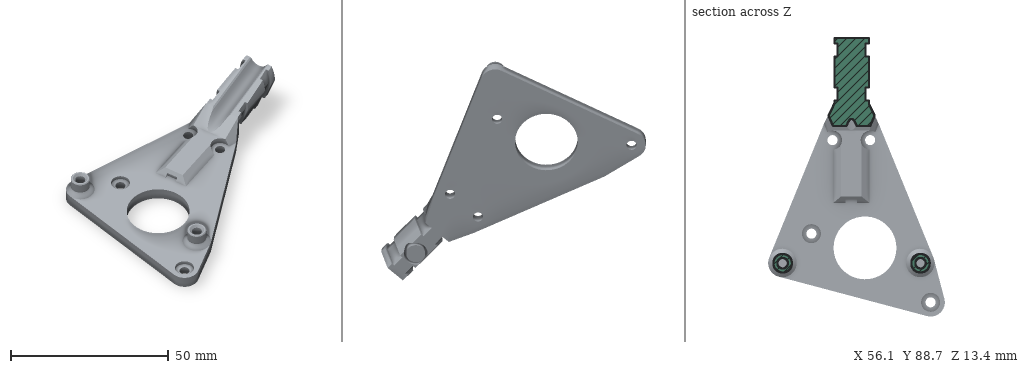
import cadquery as cq
import math

PLATE_THICKNESS = 4.0
CORNER_RADIUS = 4.5
BOSS_X = 21.9
BOSS_Y = 17.0
FOOT_HOLE = (25.2, CORNER_RADIUS)
SIDE_HOLE = (-12.7, 26.35)
NECK_HOLE_Y = 56.1
MAIN_BORE = (4.35, 21.8)
MAIN_BORE_DIAMETER = 20.0

SCREW_DIAMETER = 3.2
COUNTERBORE_DIAMETER = 6.0
COUNTERBORE_DEPTH = 1.2

BOSS_DIAMETER = 6.0
BOSS_TOP = 9.0
BOSS_BORE_DIAMETER = 3.2
BOSS_MOUTH_DIAMETER = 4.6
BOSS_EDGE = 0.3

STALK_WIDTH = 12.0
STALK_END_Y = 88.7
STALK_TOP = 13.4
STALK_SHOULDER_Z = 8.0
STALK_SLOPE = math.tan(math.radians(10))
STALK_UNDERCUT = 2.75
GROOVE_DEPTH = 1.0
GROOVE_WIDTH = 4.0
GROOVE_STARTS = (68.85, 82.8)
SOCKET_Y = 79.0
SOCKET_DIAMETER = 7.6
SOCKET_POST_DIAMETER = BOSS_DIAMETER
SOCKET_DEPTH = 3.55

CHANNEL_RADIUS = 3.2
CHANNEL_DEPTH = 2.1
CHANNEL_HALF_WIDTH = 2.8
CHANNEL_MOUTH_HALF_WIDTH = 3.4

NECK_TOP_Y = 66.7
NECK_BASE_Y = 59.2
NECK_CORNER = (8.8, 61.1)

GUIDE_TOP_Z = 6.0
GUIDE_TOP_HALF_WIDTH = 3.3
GUIDE_BASE_HALF_WIDTH = 5.8
GUIDE_TOP_END_Y = 38.15
GUIDE_NOTCH_WIDTH = 3.7
GUIDE_NOTCH_TOP_Z = 5.1

half_stalk = STALK_WIDTH / 2
half_groove = half_stalk - GROOVE_DEPTH
neck_end_y = GROOVE_STARTS[0]
guide_height = GUIDE_TOP_Z - PLATE_THICKNESS
neck_holes = [(-half_stalk, NECK_HOLE_Y), (half_stalk, NECK_HOLE_Y)]
bosses = [(-BOSS_X, BOSS_Y), (BOSS_X, BOSS_Y)]


def stalk_top_z(y):
    """Height of the sloping stalk top at position y."""
    return STALK_TOP - (STALK_END_Y - y) * STALK_SLOPE


def tangent_pair(center_a, center_b):
    """Ends of the tangent on the right of the path between two corner circles."""
    dx = center_b[0] - center_a[0]
    dy = center_b[1] - center_a[1]
    length = math.hypot(dx, dy)
    offset = (dy / length * CORNER_RADIUS, -dx / length * CORNER_RADIUS)
    return [(c[0] + offset[0], c[1] + offset[1]) for c in (center_a, center_b)]


def tangent_from(center, point, side):
    """Touch point on a corner circle of the line to an outside point; side is +1 or -1."""
    dx = point[0] - center[0]
    dy = point[1] - center[1]
    angle = math.atan2(dy, dx) + side * math.acos(CORNER_RADIUS / math.hypot(dx, dy))
    return on_corner(center, angle)


def on_corner(center, angle):
    x = center[0] + CORNER_RADIUS * math.cos(angle)
    y = center[1] + CORNER_RADIUS * math.sin(angle)
    return (x, y)


def corner_middle(center, start, end):
    """Midpoint of the corner arc running between two points on its circle."""
    dx = start[0] + end[0] - 2 * center[0]
    dy = start[1] + end[1] - 2 * center[1]
    return on_corner(center, math.atan2(dy, dx))


def make_outline(height):
    """Plate with tangent edges around its three corners, narrowing into the stalk."""
    left, right = bosses
    corner_x, corner_y = NECK_CORNER
    left_top = tangent_from(left, (-corner_x, corner_y), 1)
    left_bottom, foot_bottom = tangent_pair(left, FOOT_HOLE)
    foot_side, right_side = tangent_pair(FOOT_HOLE, right)
    right_top = tangent_from(right, NECK_CORNER, -1)
    return (
        cq.Workplane("XY")
        .moveTo(-half_groove, neck_end_y)
        .lineTo(-corner_x, corner_y)
        .lineTo(*left_top)
        .threePointArc(corner_middle(left, left_top, left_bottom), left_bottom)
        .lineTo(*foot_bottom)
        .threePointArc(corner_middle(FOOT_HOLE, foot_bottom, foot_side), foot_side)
        .lineTo(*right_side)
        .threePointArc(corner_middle(right, right_side, right_top), right_top)
        .lineTo(corner_x, corner_y)
        .lineTo(half_groove, neck_end_y)
        .close()
        .extrude(height)
    )


def stalk_section(start_y, end_y, inset):
    """Stretch of stalk with flanks undercut below the shoulder and curving inward above it."""
    half_width = half_stalk - inset
    radius = STALK_WIDTH - inset
    arc_height = STALK_TOP - STALK_SHOULDER_Z

    def flank_x(rise):
        return half_width - radius + math.sqrt(radius ** 2 - rise ** 2)

    top_x = flank_x(arc_height)
    middle_x = flank_x(arc_height / 2)
    middle_z = STALK_SHOULDER_Z + arc_height / 2
    bottom_x = half_width - STALK_UNDERCUT
    return (
        cq.Workplane("XZ", origin=(0, end_y, 0))
        .moveTo(-bottom_x, 0)
        .lineTo(bottom_x, 0)
        .lineTo(half_width, STALK_SHOULDER_Z)
        .threePointArc((middle_x, middle_z), (top_x, STALK_TOP))
        .lineTo(-top_x, STALK_TOP)
        .threePointArc((-middle_x, middle_z), (-half_width, STALK_SHOULDER_Z))
        .close()
        .extrude(end_y - start_y)
    )


def make_stalk():
    """Grooved stalk, with a full-width collar where it meets the neck."""
    stalk = stalk_section(NECK_TOP_Y, STALK_END_Y, GROOVE_DEPTH)
    stalk = stalk.union(stalk_section(NECK_TOP_Y, neck_end_y, 0))
    lower_groove, upper_groove = GROOVE_STARTS
    stalk = stalk.union(stalk_section(lower_groove + GROOVE_WIDTH, upper_groove, 0))
    stalk = stalk.union(stalk_section(upper_groove + GROOVE_WIDTH, STALK_END_Y, 0))
    below_slope = (
        cq.Workplane("YZ")
        .polyline([
            (NECK_TOP_Y, 0),
            (STALK_END_Y, 0),
            (STALK_END_Y, STALK_TOP),
            (NECK_TOP_Y, stalk_top_z(NECK_TOP_Y)),
        ])
        .close()
        .extrude(half_stalk, both=True)
    )
    return stalk.intersect(below_slope)


def make_neck():
    """Ramp from guide to stalk, with 45 degree flanks running along the ramp."""
    run = NECK_TOP_Y - NECK_BASE_Y
    rise = stalk_top_z(NECK_TOP_Y) - GUIDE_TOP_Z
    ramp_plane = cq.Plane(
        origin=(0, NECK_BASE_Y, GUIDE_TOP_Z), xDir=(1, 0, 0), normal=(0, run, rise)
    )
    depth = STALK_TOP
    ramp = (
        cq.Workplane(ramp_plane)
        .polyline([
            (-half_stalk, 0),
            (half_stalk, 0),
            (half_stalk + depth, depth),
            (-half_stalk - depth, depth),
        ])
        .close()
        .extrude(STALK_WIDTH, both=True)
    )
    span = NECK_TOP_Y - NECK_HOLE_Y
    zone = (
        cq.Workplane("XY")
        .box(2 * STALK_WIDTH, span, STALK_TOP, centered=(True, False, False))
        .translate((0, NECK_HOLE_Y, 0))
    )
    taper = (
        cq.Workplane("XY")
        .box(2 * STALK_WIDTH, neck_end_y - NECK_TOP_Y, STALK_SHOULDER_Z, centered=(True, False, False))
        .translate((0, NECK_TOP_Y, 0))
    )
    zone = zone.union(taper)
    landing = (
        cq.Workplane("XY")
        .box(STALK_WIDTH, NECK_BASE_Y - NECK_HOLE_Y, GUIDE_TOP_Z, centered=(True, False, False))
        .translate((0, NECK_HOLE_Y, 0))
    )
    return ramp.intersect(zone).intersect(make_outline(STALK_TOP)).union(landing)


def make_guide():
    """Raised bar with bevelled sides and front, notched in the front bevel."""
    front_y = GUIDE_TOP_END_Y - guide_height
    guide = (
        cq.Workplane("XZ", origin=(0, NECK_BASE_Y, 0))
        .polyline([
            (-GUIDE_BASE_HALF_WIDTH, PLATE_THICKNESS),
            (GUIDE_BASE_HALF_WIDTH, PLATE_THICKNESS),
            (GUIDE_TOP_HALF_WIDTH, GUIDE_TOP_Z),
            (-GUIDE_TOP_HALF_WIDTH, GUIDE_TOP_Z),
        ])
        .close()
        .extrude(NECK_BASE_Y - front_y)
    )
    front_bevel = (
        cq.Workplane("YZ")
        .polyline([
            (front_y, PLATE_THICKNESS),
            (front_y, GUIDE_TOP_Z),
            (GUIDE_TOP_END_Y, GUIDE_TOP_Z),
        ])
        .close()
        .extrude(GUIDE_BASE_HALF_WIDTH, both=True)
    )
    notch_height = GUIDE_NOTCH_TOP_Z - PLATE_THICKNESS
    notch = (
        cq.Workplane("XY")
        .box(GUIDE_NOTCH_WIDTH, notch_height, notch_height, centered=(True, False, False))
        .translate((0, front_y, PLATE_THICKNESS))
    )
    return guide.cut(front_bevel).cut(notch)


def make_boss(center):
    """Round boss on a 45 degree flare that reaches the plate corner radius."""
    radius = BOSS_DIAMETER / 2
    flare_top = PLATE_THICKNESS + CORNER_RADIUS - radius
    profile = [
        (0, PLATE_THICKNESS),
        (CORNER_RADIUS, PLATE_THICKNESS),
        (radius, flare_top),
        (radius, BOSS_TOP - BOSS_EDGE),
        (radius - BOSS_EDGE, BOSS_TOP),
        (0, BOSS_TOP),
    ]
    boss = cq.Workplane("XZ").polyline(profile).close().revolve(360, (0, 0), (0, 1))
    return boss.translate((*center, 0))


def make_boss_bore(center):
    """Blind bore down to the plate, with a 45 degree lead-in."""
    bore = BOSS_BORE_DIAMETER / 2
    mouth = BOSS_MOUTH_DIAMETER / 2
    profile = [
        (0, PLATE_THICKNESS),
        (bore, PLATE_THICKNESS),
        (bore, BOSS_TOP - mouth + bore),
        (mouth, BOSS_TOP),
        (0, BOSS_TOP),
    ]
    cutter = cq.Workplane("XZ").polyline(profile).close().revolve(360, (0, 0), (0, 1))
    return cutter.translate((*center, 0))


def make_channel():
    """Round-bottomed channel parallel to the stalk top, with a flared mouth."""
    lip = CHANNEL_RADIUS - math.sqrt(CHANNEL_RADIUS ** 2 - CHANNEL_HALF_WIDTH ** 2)
    overrun = CHANNEL_DEPTH
    start_y = STALK_END_Y + overrun
    plane = cq.Plane(
        origin=(0, start_y, stalk_top_z(start_y) - CHANNEL_DEPTH),
        xDir=(1, 0, 0),
        normal=(0, -1, -STALK_SLOPE),
    )
    return (
        cq.Workplane(plane)
        .moveTo(-CHANNEL_HALF_WIDTH, lip)
        .threePointArc((0, 0), (CHANNEL_HALF_WIDTH, lip))
        .lineTo(CHANNEL_MOUTH_HALF_WIDTH, CHANNEL_DEPTH)
        .lineTo(CHANNEL_MOUTH_HALF_WIDTH, STALK_TOP)
        .lineTo(-CHANNEL_MOUTH_HALF_WIDTH, STALK_TOP)
        .lineTo(-CHANNEL_MOUTH_HALF_WIDTH, CHANNEL_DEPTH)
        .close()
        .extrude((STALK_END_Y - NECK_BASE_Y) * math.hypot(1, STALK_SLOPE) + overrun)
    )


def round_bars(centers, diameter, bottom_z, top_z):
    return (
        cq.Workplane("XY", origin=(0, 0, bottom_z))
        .pushPoints(centers)
        .circle(diameter / 2)
        .extrude(top_z - bottom_z)
    )


result = make_outline(PLATE_THICKNESS).union(make_stalk()).union(make_neck()).union(make_guide())
result = result.cut(make_channel())
for boss_center in bosses:
    result = result.union(make_boss(boss_center)).cut(make_boss_bore(boss_center))

outer_holes = [FOOT_HOLE, SIDE_HOLE]
sunk_floor = PLATE_THICKNESS - COUNTERBORE_DEPTH
result = result.cut(round_bars(neck_holes + outer_holes, SCREW_DIAMETER, 0, PLATE_THICKNESS))
result = result.cut(round_bars(neck_holes, COUNTERBORE_DIAMETER, PLATE_THICKNESS, STALK_TOP))
result = result.cut(round_bars(outer_holes, COUNTERBORE_DIAMETER, sunk_floor, PLATE_THICKNESS))
result = result.cut(round_bars([MAIN_BORE], MAIN_BORE_DIAMETER, 0, PLATE_THICKNESS))

socket = round_bars([(0, SOCKET_Y)], SOCKET_DIAMETER, 0, SOCKET_DEPTH)
socket_post = round_bars([(0, SOCKET_Y)], SOCKET_POST_DIAMETER, 0, SOCKET_DEPTH)
result = result.cut(socket.cut(socket_post))